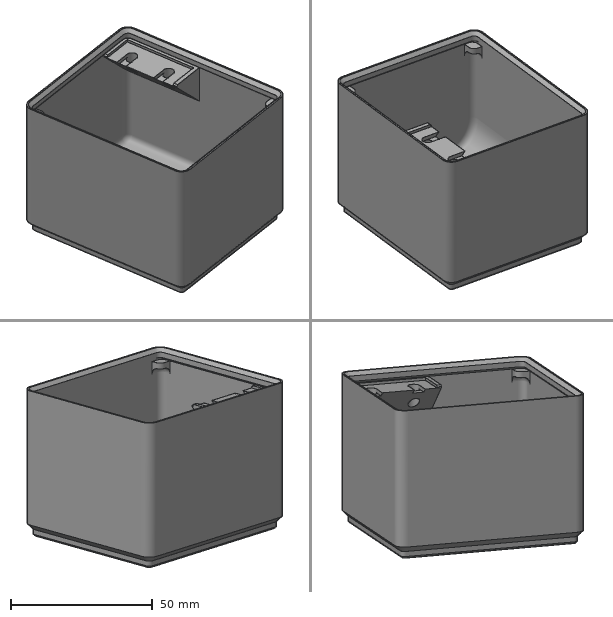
import cadquery as cq
import math

length = 70.5
width = 61.5
height = 54.2
corner_radius = 3.75
wall = 1.2

foot_chamfer = 0.8
foot_band = 1.8
foot_flare = 2.1

rim_edge = 0.6
rim_chamfer = 1.35
rim_inset = rim_edge + rim_chamfer
rim_overhang = rim_inset - wall
ledge_depth = 4.1
ledge_top = height - ledge_depth
rim_bottom = ledge_top + rim_overhang

floor_top = 5.9
cavity_radius = corner_radius - wall
scoop_radius = 13.1

block_reach = 6.05
block_thickness = 2.2
underside_radius = 2.5

shelf_right = 33.05
shelf_reach = 14.65
recess_left = 2.55
recess_right = 31.45
recess_back = 2.5
recess_depth = 1.0
shelf_tip_chamfer = 0.55

slot_width = 4.0
slot_spacing = 16.0
first_slot_x = 8.95
slot_end_reach = 8.45
slot_depth = 1.4

left = -length / 2
front = -width / 2
back = width / 2


def rounded_plate(inset, bottom, thickness):
    """Plate following the body outline, inset from the outer walls."""
    plate = cq.Workplane("XY", origin=(0, 0, bottom))
    plate = plate.rect(length - 2 * inset, width - 2 * inset).extrude(thickness)
    return plate.edges("|Z").fillet(corner_radius - inset)


def make_outer_body():
    body_bottom = foot_chamfer + foot_band
    foot = rounded_plate(foot_flare, 0, body_bottom).faces("<Z").chamfer(foot_chamfer)
    body = rounded_plate(0, body_bottom, height - body_bottom).faces("<Z").chamfer(foot_flare)
    return foot.union(body)


def make_rim_opening():
    opening = rounded_plate(rim_inset, rim_bottom, height - rim_bottom)
    mouth = rounded_plate(rim_edge, height - rim_chamfer, 2 * rim_chamfer)
    return opening.union(mouth.faces("<Z").chamfer(rim_chamfer))


def make_cavity(top):
    """Scooped cavity up to the given height, all edges rounded but the top ones."""
    scoop_wall = front + rim_inset
    scoop_end = scoop_wall + scoop_radius
    diagonal = scoop_radius * math.sqrt(0.5)
    scoop_middle = (scoop_end - diagonal, floor_top + scoop_radius - diagonal)
    profile = (
        cq.Workplane("YZ", origin=(left + wall, 0, 0))
        .moveTo(scoop_wall, top)
        .lineTo(scoop_wall, floor_top + scoop_radius)
        .threePointArc(scoop_middle, (scoop_end, floor_top))
        .lineTo(back - wall, floor_top)
        .lineTo(back - wall, top)
        .close()
    )
    cavity = profile.extrude(length - 2 * wall)
    side_edges = cavity.faces("<X or >X").edges("not >Z")
    back_edge = cavity.faces(">Y").edges("<Z")
    return cavity.newObject(side_edges.vals() + back_edge.vals()).fillet(cavity_radius)


def make_tapered_cavity():
    """Cavity up to the rim, drawn in at the top by the chamfer under the rim."""
    taper = rounded_plate(wall, 0, rim_bottom).faces(">Z").chamfer(rim_overhang)
    return make_cavity(rim_bottom).intersect(taper)


def make_corner_blocks():
    """Rounded corner blocks whose undersides curve down into the walls."""
    block_bottom = ledge_top - block_thickness
    block_height = block_thickness + cavity_radius
    corners = [(1, 1), (1, -1), (-1, -1)]
    centers = [(x * length / 2, y * width / 2) for x, y in corners]
    blocks = (
        cq.Workplane("XY", origin=(0, 0, ledge_top - block_height))
        .pushPoints(centers)
        .rect(2 * block_reach, 2 * block_reach)
        .extrude(block_height)
        .edges("|Z")
        .fillet(block_reach - corner_radius)
    )
    space_below = make_cavity(block_bottom).faces(">Z").edges().fillet(underside_radius)
    return blocks.cut(space_below)


def box_from(corner, x_size, y_size, z_size):
    """Box growing in the positive directions from its lowest corner."""
    return cq.Workplane("XY", origin=corner).box(x_size, y_size, z_size, centered=False)


def make_keyhole(slot_x, slot_floor):
    """Slot open at the shelf tip, ending in a round hole through the shelf."""
    tip_y = back - shelf_reach
    slot_end_y = back - slot_end_reach
    corner = (slot_x - slot_width / 2, tip_y, slot_floor)
    slot = box_from(corner, slot_width, slot_end_y - tip_y, slot_depth)
    hole = cq.Workplane("XY", origin=(slot_x, slot_end_y, 0)).circle(slot_width / 2)
    return slot.union(hole.extrude(ledge_top))


def make_label_shelf():
    """Wedge with a 45 degree underside, a label recess and two keyhole slots."""
    tip_y = back - shelf_reach
    root_y = back - wall / 2
    recess_floor = ledge_top - recess_depth
    shelf = (
        cq.Workplane("YZ", origin=(left, 0, 0))
        .moveTo(root_y, ledge_top)
        .lineTo(tip_y + shelf_tip_chamfer, ledge_top)
        .lineTo(tip_y, ledge_top - shelf_tip_chamfer)
        .lineTo(tip_y, recess_floor)
        .lineTo(root_y, recess_floor - (root_y - tip_y))
        .close()
        .extrude(shelf_right)
    )
    recess_width = recess_right - recess_left
    recess_corner = (left + recess_left, tip_y, recess_floor)
    shelf = shelf.cut(box_from(recess_corner, recess_width, shelf_reach - recess_back, recess_depth))
    for slot_x in (left + first_slot_x, left + first_slot_x + slot_spacing):
        shelf = shelf.cut(make_keyhole(slot_x, recess_floor - slot_depth))
    return shelf


fittings = make_corner_blocks().union(make_label_shelf())
result = (
    make_outer_body()
    .cut(make_tapered_cavity())
    .cut(make_rim_opening())
    .union(fittings.intersect(rounded_plate(wall / 2, 0, height)))
)